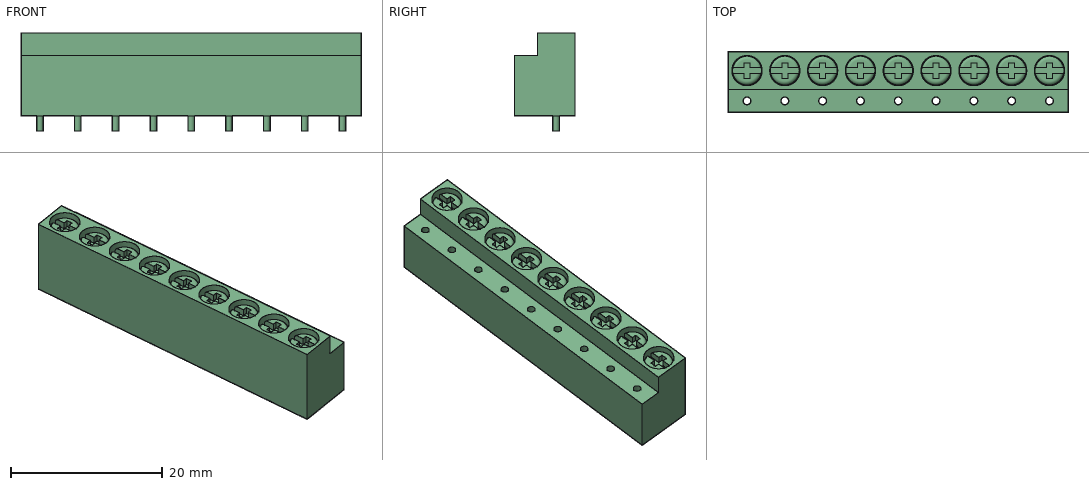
import cadquery as cq

POLE_COUNT = 9
LENGTH = 45
PITCH = LENGTH / POLE_COUNT
DEPTH = 8.0
LOW_HEIGHT = 8.0
FULL_HEIGHT = 11.0
TOTAL_HEIGHT = 13.0
STEP_DEPTH = 3.0
BACK_DEPTH = DEPTH - STEP_DEPTH

WIRE_HOLE_DIAMETER = 1.0
WIRE_HOLE_Y = STEP_DEPTH / 2

PIN_DIAMETER = 0.9
PIN_LENGTH = TOTAL_HEIGHT - FULL_HEIGHT

SCREW_Y = STEP_DEPTH + BACK_DEPTH / 2
POCKET_DIAMETER = 4.0
HEAD_DIAMETER = 3.82
HEAD_RECESS = 0.6
HEAD_HEIGHT = 1.4
HEAD_ROUNDING = 0.5
POCKET_DEPTH = HEAD_RECESS + HEAD_HEIGHT

SLOT_WIDTH = 0.8
SLOT_DEPTH = 1.0
SHORT_SLOT_LENGTH = 2.02

pole_xs = [PITCH * (pole + 0.5) for pole in range(POLE_COUNT)]


def at_poles(y, z):
    """Workplane at height z with one point per pole in a row at y."""
    return cq.Workplane("XY", origin=(0, y, z)).pushPoints([(x, 0) for x in pole_xs])


def make_housing():
    return (
        cq.Workplane("YZ")
        .moveTo(0, 0)
        .lineTo(DEPTH, 0)
        .lineTo(DEPTH, FULL_HEIGHT)
        .lineTo(STEP_DEPTH, FULL_HEIGHT)
        .lineTo(STEP_DEPTH, LOW_HEIGHT)
        .lineTo(0, LOW_HEIGHT)
        .close()
        .extrude(LENGTH)
    )


def make_screw_heads():
    """Round-edged screw heads with cross slots, standing on the pocket floors."""
    head_top = FULL_HEIGHT - HEAD_RECESS
    heads = (
        at_poles(SCREW_Y, FULL_HEIGHT - POCKET_DEPTH)
        .circle(HEAD_DIAMETER / 2)
        .extrude(HEAD_HEIGHT)
        .faces(">Z")
        .edges()
        .fillet(HEAD_ROUNDING)
    )
    long_slots = at_poles(SCREW_Y, head_top).rect(HEAD_DIAMETER, SLOT_WIDTH).extrude(-SLOT_DEPTH)
    short_slots = at_poles(SCREW_Y, head_top).rect(SLOT_WIDTH, SHORT_SLOT_LENGTH).extrude(-SLOT_DEPTH)
    return heads.cut(long_slots).cut(short_slots)


wire_holes = at_poles(WIRE_HOLE_Y, 0).circle(WIRE_HOLE_DIAMETER / 2).extrude(LOW_HEIGHT)
screw_pockets = at_poles(SCREW_Y, FULL_HEIGHT).circle(POCKET_DIAMETER / 2).extrude(-POCKET_DEPTH)
pins = at_poles(SCREW_Y, 0).circle(PIN_DIAMETER / 2).extrude(-PIN_LENGTH)

result = make_housing().cut(wire_holes).cut(screw_pockets).union(make_screw_heads()).union(pins)